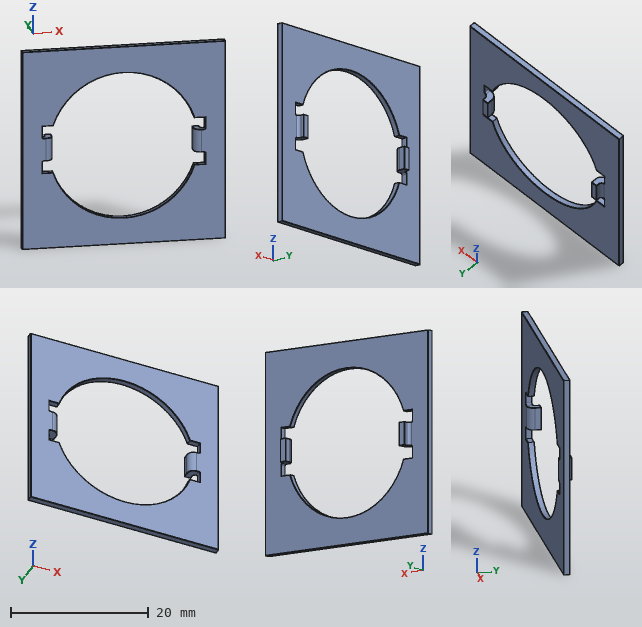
import cadquery as cq

side = 30.0
thickness = 1.0
depth = 2.0
edge_break = 0.078

opening_radius = 11.0
recess_end_x = 12.03
recess_half_height = 3.55
recess_corner_radius = 0.2

tab_half_height = 1.75
tab_inner_x = 10.4
tab_thickness = 1.05
bend_radius = 1.08
root_radius = 0.48
tab_embedding = 0.3

front_y = -depth / 2
plate_back_y = front_y + thickness
tab_tip_y = depth / 2
tab_outer_x = tab_inner_x + tab_thickness
tab_base_x = recess_end_x - recess_corner_radius
tab_embedded_x = recess_end_x + tab_embedding


def plate_block(x_min, x_max, z_min, z_max):
    """Block through the plate thickness between the given X and Z limits."""
    corner = (x_min, front_y, z_min)
    return cq.Workplane("XY", origin=corner).box(x_max - x_min, thickness, z_max - z_min, centered=False)


def on_both_sides(shape):
    """The right-hand shape joined with its mirror image on the left."""
    return shape.union(shape.mirror("YZ"))


def make_opening():
    """Round opening with four recesses, rounded where they meet the tab bases."""
    opening = cq.Workplane("XZ", origin=(0, front_y, 0)).circle(opening_radius).extrude(-thickness)
    upper_recess = plate_block(0, recess_end_x, tab_half_height, recess_half_height)
    upper_recess = upper_recess.edges("|Y and >X and <Z").fillet(recess_corner_radius)
    recesses = upper_recess.union(upper_recess.mirror("XY"))
    return opening.union(on_both_sides(recesses))


def make_plate():
    """Plate with broken front and back edges, cleared where the tabs go."""
    plate = plate_block(-side / 2, side / 2, -side / 2, side / 2).cut(make_opening())
    plate = plate.faces("<Y or >Y").edges().chamfer(edge_break)
    return plate.cut(plate_block(-tab_base_x, tab_base_x, -tab_half_height, tab_half_height))


def make_tab():
    """Right-hand tab: rounded bend at the front, filleted root at the back."""
    tab = (
        cq.Workplane("XY", origin=(0, 0, -tab_half_height))
        .moveTo(tab_embedded_x, front_y)
        .lineTo(tab_inner_x + bend_radius, front_y)
        .radiusArc((tab_inner_x, front_y + bend_radius), bend_radius)
        .lineTo(tab_inner_x, tab_tip_y)
        .lineTo(tab_outer_x, tab_tip_y)
        .lineTo(tab_outer_x, plate_back_y + root_radius)
        .radiusArc((tab_outer_x + root_radius, plate_back_y), -root_radius)
        .lineTo(tab_embedded_x, plate_back_y)
        .close()
        .extrude(2 * tab_half_height)
    )
    return tab.faces("|Z or >Y").edges().chamfer(edge_break)


result = make_plate().union(on_both_sides(make_tab()))